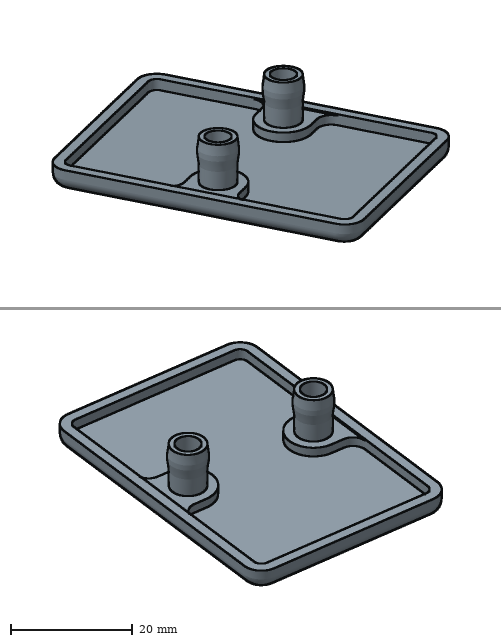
import cadquery as cq

length = 56
width = 40.0
plate_thickness = 4.0
corner_radius = 3.5
bottom_round = 2.2

rim_width = 2.0
recess_depth = 2.0
recess_length = length - 2 * rim_width
recess_width = width - 2 * rim_width
recess_floor = plate_thickness - recess_depth
recess_corner_radius = corner_radius - rim_width

pad_radius = 5.0
pad_drop = 0.3
pad_top = plate_thickness - pad_drop
pad_flare_radius = 2.5

post_offset = 13.0
post_radius = 6.4 / 2
ring_radius = 6.9 / 2
bore_diameter = 4.5
total_height = 12.0
ring_top = total_height - 2.0
ring_bottom = total_height - 3.0
taper_bottom = total_height - 5.0


def make_plate():
    plate = (
        cq.Workplane("XY")
        .box(length, width, plate_thickness, centered=(True, True, False))
        .edges("|Z").fillet(corner_radius)
        .faces("<Z").edges().fillet(bottom_round)
    )
    recess = (
        cq.Workplane("XY", origin=(0, 0, recess_floor))
        .box(recess_length, recess_width, recess_depth, centered=(True, True, False))
        .edges("|Z").fillet(recess_corner_radius)
    )
    return plate.cut(recess)


def make_pad():
    """Pad with a round nose, flaring tangentially into the recess wall at +Y."""
    wall = recess_width / 2
    rim_middle = wall + rim_width / 2
    flare_start = wall - pad_flare_radius
    flare_end = pad_radius + pad_flare_radius
    return (
        cq.Workplane("XY", origin=(0, 0, recess_floor))
        .moveTo(-pad_radius, post_offset)
        .threePointArc((0, post_offset - pad_radius), (pad_radius, post_offset))
        .lineTo(pad_radius, flare_start)
        .tangentArcPoint((flare_end, wall), relative=False)
        .lineTo(flare_end, rim_middle)
        .lineTo(-flare_end, rim_middle)
        .lineTo(-flare_end, wall)
        .radiusArc((-pad_radius, flare_start), pad_flare_radius)
        .close()
        .extrude(pad_top - recess_floor)
    )


def make_post():
    """Post with its bore ending level with the pad."""
    outline = [
        (0, recess_floor),
        (post_radius, recess_floor),
        (post_radius, taper_bottom),
        (ring_radius, ring_bottom),
        (ring_radius, ring_top),
        (post_radius, total_height),
        (0, total_height),
    ]
    post = cq.Workplane("XZ").polyline(outline).close().revolve(360, (0, 0), (0, 1))
    bore = (
        cq.Workplane("XY", origin=(0, 0, pad_top))
        .circle(bore_diameter / 2)
        .extrude(total_height - pad_top)
    )
    return post.cut(bore).translate((0, post_offset, 0))


result = make_plate()
mount = make_pad().union(make_post())
for angle in (0, 180):
    result = result.union(mount.rotate((0, 0, 0), (0, 0, 1), angle))